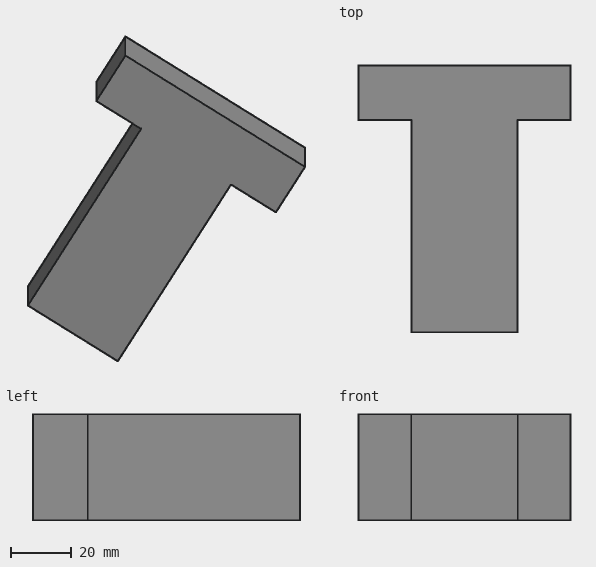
import cadquery as cq

total_length = 88.0
head_width = 70.0
head_depth = 18.0
stem_width = 35.0
height = 35.0

stem_length = total_length - head_depth

stem = cq.Workplane("XY").box(stem_width, stem_length, height, centered=(True, False, False))

head = (
    cq.Workplane("XY")
    .box(head_width, head_depth, height, centered=(True, False, False))
    .translate((0, stem_length, 0))
)

result = stem.union(head).clean()